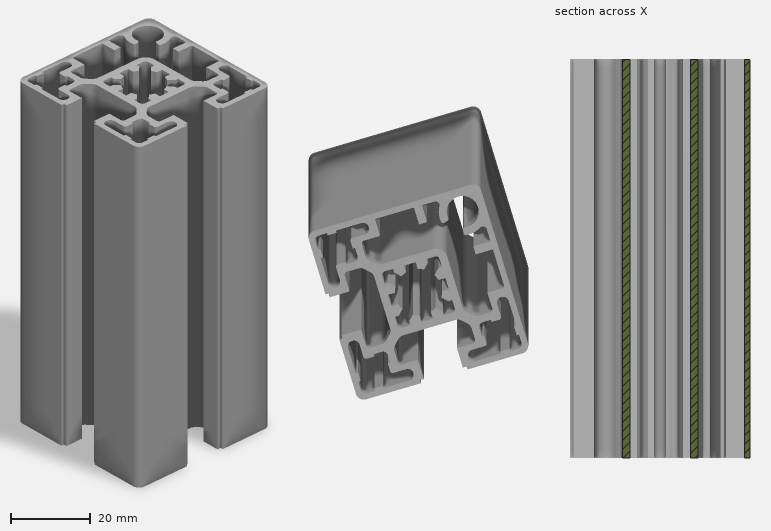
import cadquery as cq
import math

SIDE = 45.0
LENGTH = 100.0
HALF = SIDE / 2
OUTER_RADIUS = 2.0
WALL = 1.5
INNER_WALL = HALF - WALL

MOUTH_HALF = 5.1
MOUTH_STEP_HALF = 6.1
MOUTH_STEP_DEPTH = 0.8
LIP_FACE = 16.5
SLOT_HALF = 10.1
SLOT_FLOOR = 9.5
SLOT_BEVEL = 2.4
BEVEL_RADIUS = 2.0
SLOT_CORNER_RADIUS = 0.8
CORE_CORNER_RADIUS = 3.0

CHAMBER_INNER = 12.0
LIP_POCKET_END = 7.2
LIP_POCKET_WIDTH = 3.0
LIP_POCKET_RADIUS = 1.4
CHAMBER_RADIUS = 1.2
CHAMBER_EDGE_RADIUS = 0.7
PAD_HEIGHT = 0.6
PAD_WIDTH = 2.3

CORE_HALF = 7.5
CORE_RADIUS = 1.0
BORE_RADIUS = 5.9
TOOTH_NEAR = 1.5
TOOTH_FAR = 4.4
TOOTH_SHOULDER = 6.5

CHANNEL_CENTER = 16.5
CHANNEL_BORE_RADIUS = 4.0
CHANNEL_RING_RADIUS = 6.0
CHANNEL_FILLET = 1.0
CHANNEL_GAP_START = 15.0
CHANNEL_GAP_END = 75.0
RING_END_RADIUS = 0.5

OVERLAP = 1.0


def rounded_prism(corners):
    """Extrude a closed polygon of (x, y, corner radius) over the full length."""
    trims = []
    for i, (x, y, radius) in enumerate(corners):
        here = cq.Vector(x, y)
        to_last = (cq.Vector(*corners[i - 1][:2]) - here).normalized()
        to_next = (cq.Vector(*corners[(i + 1) % len(corners)][:2]) - here).normalized()
        half_angle = to_last.getAngle(to_next) / 2
        setback = radius / math.tan(half_angle)
        bulge = radius / math.sin(half_angle) - radius
        middle = here + (to_last + to_next).normalized() * bulge
        trims.append((here + to_last * setback, middle, here + to_next * setback, radius))

    wire = cq.Workplane("XY").moveTo(*trims[0][2].toTuple()[:2])
    for start, middle, end, radius in trims[1:] + trims[:1]:
        wire = wire.lineTo(start.x, start.y)
        if radius > 0:
            wire = wire.threePointArc((middle.x, middle.y), (end.x, end.y))
    return wire.close().extrude(LENGTH)


def turned(body, angle):
    return body.rotate((0, 0, 0), (0, 0, 1), angle)


def square_bar(half, radius):
    side = 2 * half
    return cq.Workplane("XY").rect(side, side).extrude(LENGTH).edges("|Z").fillet(radius)


def block(x_min, x_max, y_min, y_max):
    box = cq.Workplane("XY").box(x_max - x_min, y_max - y_min, LENGTH, centered=False)
    return box.translate((x_min, y_min, 0))


def cylinder(x, y, radius):
    return cq.Workplane("XY").center(x, y).circle(radius).extrude(LENGTH)


def slot_side(outer_limit):
    """+X side of a slot opening toward +Y, from the outer limit in to the floor."""
    return [
        (MOUTH_HALF, outer_limit, 0),
        (MOUTH_HALF, LIP_FACE, 0),
        (SLOT_HALF, LIP_FACE, SLOT_CORNER_RADIUS),
        (SLOT_HALF, SLOT_FLOOR + SLOT_BEVEL, BEVEL_RADIUS),
        (SLOT_HALF - SLOT_BEVEL, SLOT_FLOOR, BEVEL_RADIUS),
    ]


def open_slot():
    """T-slot opening toward +Y with a stepped mouth."""
    right = slot_side(HALF + OVERLAP)
    left = [(-x, y, radius) for x, y, radius in reversed(right)]
    step = block(-MOUTH_STEP_HALF, MOUTH_STEP_HALF, HALF - MOUTH_STEP_DEPTH, HALF + OVERLAP)
    return rounded_prism(right + left).union(step)


def corner_chamber():
    """Hollow in the +X +Y corner, symmetric about the diagonal."""
    pad_start = LIP_FACE - PAD_WIDTH / 2
    pad_end = LIP_FACE + PAD_WIDTH / 2
    pocket_face = INNER_WALL - LIP_POCKET_WIDTH
    half = [
        (pad_end, INNER_WALL, 0),
        (pad_end, INNER_WALL - PAD_HEIGHT, 0),
        (pad_start, INNER_WALL - PAD_HEIGHT, 0),
        (pad_start, INNER_WALL, 0),
        (LIP_POCKET_END, INNER_WALL, LIP_POCKET_RADIUS),
        (LIP_POCKET_END, pocket_face, LIP_POCKET_RADIUS),
        (CHAMBER_INNER + PAD_HEIGHT, pocket_face, CHAMBER_EDGE_RADIUS),
        (CHAMBER_INNER + PAD_HEIGHT, pad_start, 0),
        (CHAMBER_INNER, pad_start, 0),
    ]
    mirrored = [(y, x, radius) for x, y, radius in reversed(half)]
    outer_corner = [(INNER_WALL, INNER_WALL, CHAMBER_RADIUS)]
    inner_corner = [(CHAMBER_INNER, CHAMBER_INNER, CHAMBER_RADIUS)]
    return rounded_prism(outer_corner + half + inner_corner + mirrored)


def screw_channel():
    """Split ring in the -X +Y corner, blended into both outer walls."""
    x, y = -CHANNEL_CENTER, CHANNEL_CENTER
    blend_drop = INNER_WALL - CHANNEL_FILLET - CHANNEL_CENTER
    blend_reach = math.sqrt((CHANNEL_RING_RADIUS + CHANNEL_FILLET) ** 2 - blend_drop**2)
    blends = [(x + blend_reach, y + blend_drop), (x - blend_drop, y - blend_reach)]

    corner = (
        cq.Workplane("XY")
        .polyline([(x, y), blends[1], (-INNER_WALL, blends[1][1]), (-INNER_WALL, INNER_WALL),
                   (blends[0][0], INNER_WALL), blends[0]])
        .close()
        .extrude(LENGTH)
    )
    for blend_x, blend_y in blends:
        corner = corner.cut(cylinder(blend_x, blend_y, CHANNEL_FILLET))

    reach = 2 * CHANNEL_RING_RADIUS
    gap_corners = [(x, y)]
    for degrees in (CHANNEL_GAP_START, CHANNEL_GAP_END):
        angle = math.radians(-degrees)
        gap_corners.append((x + reach * math.cos(angle), y + reach * math.sin(angle)))
    gap = cq.Workplane("XY").polyline(gap_corners).close().extrude(LENGTH)

    ring = cylinder(x, y, CHANNEL_RING_RADIUS).cut(cylinder(x, y, CHANNEL_BORE_RADIUS)).cut(gap)
    ring = ring.edges("|Z").fillet(RING_END_RADIUS)
    return ring.union(corner.cut(cylinder(x, y, CHANNEL_BORE_RADIUS)))


def closed_cavity():
    """L-shaped cavity behind the closed -X and +Y walls."""
    top = slot_side(INNER_WALL)
    left = [(-y, -x, radius) for x, y, radius in reversed(top)]
    core_corner = [(-SLOT_FLOOR, SLOT_FLOOR, CORE_CORNER_RADIUS)]
    wall_corner = [(-INNER_WALL, INNER_WALL, 0)]
    cavity = rounded_prism(top + core_corner + left + wall_corner)
    top_rib = block(-LIP_POCKET_END, -MOUTH_HALF, LIP_FACE, HALF)
    left_rib = block(-HALF, -LIP_FACE, MOUTH_HALF, LIP_POCKET_END)
    return cavity.cut(top_rib).cut(left_rib).cut(screw_channel())


def center_bore():
    """Square hollow with two pointed teeth on each side, trimmed to a round bore."""
    hollow = square_bar(CORE_HALF, CORE_RADIUS)
    tip = TOOTH_SHOULDER - (TOOTH_FAR - TOOTH_NEAR)
    tooth = (
        cq.Workplane("XY")
        .polyline([(TOOTH_NEAR, CORE_HALF + OVERLAP), (TOOTH_NEAR, tip),
                   (TOOTH_FAR, TOOTH_SHOULDER), (TOOTH_FAR, CORE_HALF + OVERLAP)])
        .close()
        .extrude(LENGTH)
        .cut(cylinder(0, 0, BORE_RADIUS))
    )
    teeth = tooth.union(tooth.mirror("YZ"))
    for angle in (0, 90, 180, 270):
        hollow = hollow.cut(turned(teeth, angle))
    return hollow


result = square_bar(HALF, OUTER_RADIUS)
result = result.cut(center_bore()).cut(closed_cavity())
for slot_angle in (180, 270):
    result = result.cut(turned(open_slot(), slot_angle))
for chamber_angle in (0, 180, 270):
    result = result.cut(turned(corner_chamber(), chamber_angle))